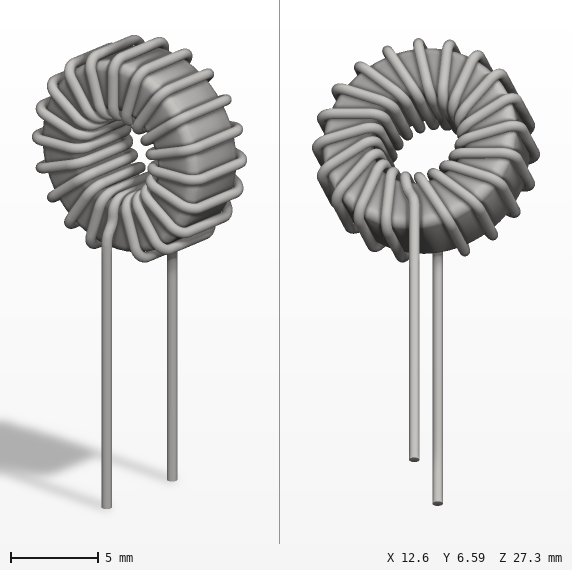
import cadquery as cq
import math


CORE_OUTER_DIAMETER = 11.4
CORE_INNER_DIAMETER = 5.63
CORE_WIDTH = 4.2
CORE_EDGE_FILLET = 0.5

WIRE_DIAMETER = 0.6
WIRE_GAP = 0.015
TURN_COUNT = 20

LEAD_SPACING = 5.99
LEAD_START_DEPTH = 5.0
TOTAL_HEIGHT = 27.33

WIRE_OFFSET = WIRE_DIAMETER / 2 + WIRE_GAP
OUTER_PATH_RADIUS = CORE_OUTER_DIAMETER / 2 + WIRE_OFFSET
INNER_PATH_RADIUS = CORE_INNER_DIAMETER / 2 - WIRE_OFFSET
PATH_HALF_WIDTH = CORE_WIDTH / 2 + WIRE_OFFSET
BEND_RADIUS = CORE_EDGE_FILLET + WIRE_OFFSET

TURN_PITCH = 360 / TURN_COUNT
LEAD_ANGLE = 270
LEAD_END_Z = OUTER_PATH_RADIUS + WIRE_DIAMETER / 2 - TOTAL_HEIGHT


def ring_point(radius, angle, y):
    """Point at a polar position around the Y axis; 0 degrees is +X, 90 is +Z."""
    turn = math.radians(angle)
    return cq.Vector(radius * math.cos(turn), y, radius * math.sin(turn))


def make_core():
    """Ring with all four circular edges rounded, centred on the origin."""
    return (
        cq.Workplane("XZ", origin=(0, CORE_WIDTH / 2, 0))
        .circle(CORE_OUTER_DIAMETER / 2)
        .circle(CORE_INNER_DIAMETER / 2)
        .extrude(CORE_WIDTH)
        .edges("%CIRCLE")
        .fillet(CORE_EDGE_FILLET)
    )


def winding_corners():
    """Sharp corners of the winding, from the front lead round to the back lead.

    Each turn runs radially in along the front, back through the bore, then
    slants across the back to the outer position of the next turn.
    """
    corners = []
    for turn in range(TURN_COUNT):
        inner_angle = LEAD_ANGLE - turn * TURN_PITCH
        outer_angle = inner_angle - TURN_PITCH
        corners += [
            ring_point(OUTER_PATH_RADIUS, inner_angle, -PATH_HALF_WIDTH),
            ring_point(INNER_PATH_RADIUS, inner_angle, -PATH_HALF_WIDTH),
            ring_point(INNER_PATH_RADIUS, inner_angle, PATH_HALF_WIDTH),
            ring_point(OUTER_PATH_RADIUS, outer_angle, PATH_HALF_WIDTH),
        ]
    return corners


def rounded_path(corners):
    """Edges through the corners, starting and ending where the end bends meet the end runs.

    Every corner between the first and the last is a right angle, rounded to
    the bend radius.
    """
    edges = []
    previous_end = None
    for before, corner, after in zip(corners, corners[1:], corners[2:]):
        to_before = (before - corner).normalized()
        to_after = (after - corner).normalized()
        bend_start = corner + to_before * BEND_RADIUS
        bend_end = corner + to_after * BEND_RADIUS
        bend_centre = bend_start + to_after * BEND_RADIUS
        bend_middle = bend_centre + (corner - bend_centre).normalized() * BEND_RADIUS
        if previous_end is not None:
            edges.append(cq.Edge.makeLine(previous_end, bend_start))
        edges.append(cq.Edge.makeThreePointArc(bend_start, bend_middle, bend_end))
        previous_end = bend_end
    return edges


def lead_edges(bend_end, direction, lead_y):
    """Curve from the last bend out to a lead, then the lead straight down."""
    lead_top = cq.Vector(0, lead_y, -LEAD_START_DEPTH)
    lead_bottom = cq.Vector(0, lead_y, LEAD_END_Z)
    handle = (bend_end.z - lead_top.z) / 2
    curve_points = [
        bend_end,
        bend_end + direction * handle,
        lead_top + cq.Vector(0, 0, handle),
        lead_top,
    ]
    return [cq.Edge.makeBezier(curve_points), cq.Edge.makeLine(lead_top, lead_bottom)]


def make_winding():
    """One round wire swept along the leads and all the turns."""
    corners = winding_corners()
    turns = rounded_path(corners)
    front_direction = (corners[0] - corners[1]).normalized()
    back_direction = (corners[-1] - corners[-2]).normalized()
    front_lead = lead_edges(turns[0].startPoint(), front_direction, -LEAD_SPACING / 2)
    back_lead = lead_edges(turns[-1].endPoint(), back_direction, LEAD_SPACING / 2)
    path = cq.Wire.assembleEdges(front_lead[::-1] + turns + back_lead)
    return (
        cq.Workplane("XY", origin=(0, -LEAD_SPACING / 2, LEAD_END_Z))
        .circle(WIRE_DIAMETER / 2)
        .sweep(cq.Workplane(path))
    )


core = make_core()
winding = make_winding()

result = cq.Compound.makeCompound([core.val(), winding.val()])